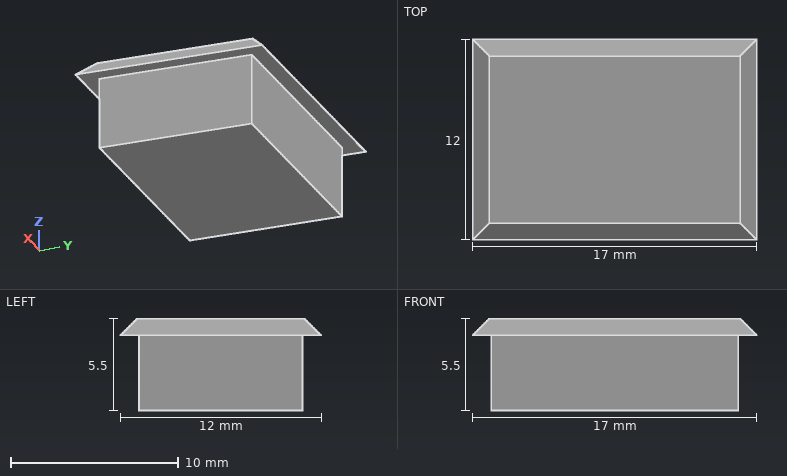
import cadquery as cq

cap_length = 17.0
cap_width = 12.0
total_height = 5.5

cap_height = 1.0
bevel_angle = 45.0

rim_overhang = 1.1
plug_length = cap_length - 2 * rim_overhang
plug_width = cap_width - 2 * rim_overhang
plug_height = total_height - cap_height


def make_plug():
    """Rectangular block standing on the XY plane."""
    return cq.Workplane("XY").box(plug_length, plug_width, plug_height, centered=(True, True, False))


def make_cap():
    """Bevelled rectangular cap resting on top of the plug."""
    return (
        cq.Workplane("XY")
        .workplane(offset=plug_height)
        .rect(cap_length, cap_width)
        .extrude(cap_height, taper=bevel_angle)
    )


result = make_plug().union(make_cap())